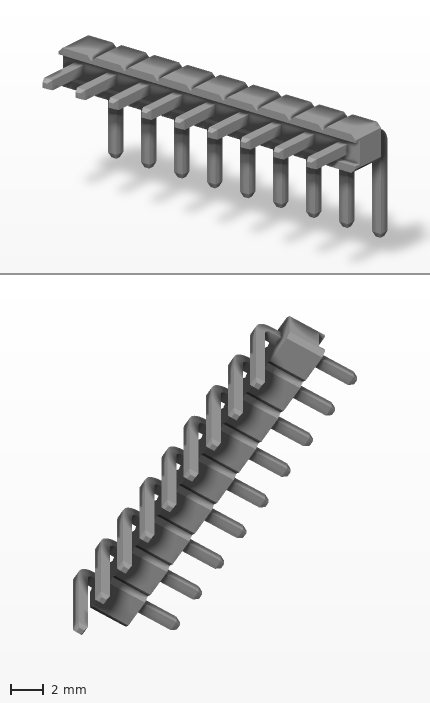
import cadquery as cq


pin_count = 9
bar_length = 22.85
pitch = bar_length / pin_count
bar_depth = pitch
bar_height = pitch
corner_chamfer = 0.32
lip_thickness = 0.5
recess_depth = 0.43

pin_width = 0.66
mating_length = 2.97
tail_length = 5.74
tail_offset = 1.83
bend_inner_radius = 0.43
tip_length = 0.35
tip_width = 0.37

bar_front = -bar_depth / 2
bar_back = bar_depth / 2
mating_end = bar_front - mating_length
tail_end = -bar_height / 2 - tail_length
tail_back = bar_back + tail_offset
tail_center = tail_back - pin_width / 2
bend_center_radius = bend_inner_radius + pin_width / 2
pin_positions = [(i - (pin_count - 1) / 2) * pitch for i in range(pin_count)]


def make_bar():
    """Row of chamfered cells with a recess along the whole mating face."""
    cell = cq.Workplane("XY").box(pitch, bar_depth, bar_height).edges("|Y").chamfer(corner_chamfer)
    bar = cq.Workplane("XY")
    for x in pin_positions:
        bar = bar.union(cell.translate((x, 0, 0)))
    recess = cq.Workplane("XY").box(
        bar_length, recess_depth, bar_height - 2 * lip_thickness
    ).translate((0, bar_front + recess_depth / 2, 0))
    return bar.cut(recess)


def make_tip(plane):
    """Tapered square pin end growing along the normal of the given plane."""
    return (
        cq.Workplane(plane)
        .rect(pin_width, pin_width)
        .workplane(offset=tip_length)
        .rect(tip_width, tip_width)
        .loft(ruled=True)
    )


def make_pin():
    """Square wire swept along the mating leg, the bend and the tail, with tapered ends."""
    mating_shoulder = mating_end + tip_length
    tail_shoulder = tail_end + tip_length
    path = (
        cq.Workplane("YZ")
        .moveTo(mating_shoulder, 0)
        .lineTo(tail_center - bend_center_radius, 0)
        .radiusArc((tail_center, -bend_center_radius), bend_center_radius)
        .lineTo(tail_center, tail_shoulder)
    )
    mating_plane = cq.Plane(origin=(0, mating_shoulder, 0), xDir=(1, 0, 0), normal=(0, -1, 0))
    tail_plane = cq.Plane(origin=(0, tail_center, tail_shoulder), xDir=(1, 0, 0), normal=(0, 0, -1))
    wire = cq.Workplane(mating_plane).rect(pin_width, pin_width).sweep(path)
    return wire.union(make_tip(mating_plane)).union(make_tip(tail_plane))


pin = make_pin()
result = make_bar()
for x in pin_positions:
    result = result.union(pin.translate((x, 0, 0)))